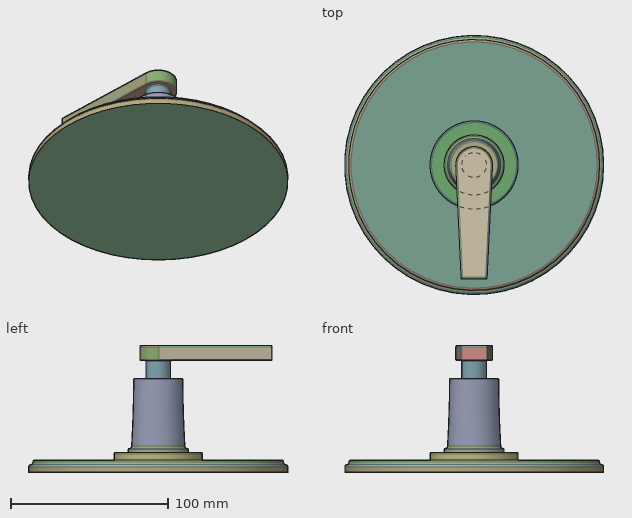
import cadquery as cq
import math

plate_radius = 82.5
plate_height = 8.0
rim_wall_height = 3.5
rim_shoulder_radius = 81.4
rim_shoulder_height = 5.0
rim_cove_radius = 79.9
rim_cove_height = 6.8
plate_face_radius = 78.5

flange_radius = 28.0
flange_top = 12.9
flange_round = 1.0

bead_radius = 19.2
bead_wall_top = 14.5
bead_round = 0.8
cove_start_radius = bead_radius - bead_round
cove_start_height = bead_wall_top + bead_round

hub_bottom_radius = 17.0
hub_bottom = 16.8
hub_top_radius = 15.7
hub_top = 60.0
hub_round = 0.8
hub_waist = 0.28

neck_radius = 8.0
neck_flare = 0.7

lever_bottom = 71.5
lever_top = 80.9
lever_head_radius = 11.7
lever_tip_half_width = 8.3
lever_reach = 72.5
lever_top_round = 1.0
lever_bottom_round = 0.5
lever_tip_round = 0.5

DIAGONAL = math.sqrt(0.5)


def quarter_arc_middle(vertical_end, level_end):
    """Middle of a quarter arc, upright at vertical_end and level at level_end."""
    center_x, center_z = level_end[0], vertical_end[1]
    return (
        center_x + (vertical_end[0] - center_x) * DIAGONAL,
        center_z + (level_end[1] - center_z) * DIAGONAL,
    )


def add_quarter_arc(profile, vertical_end, level_end, rising_to_level=True):
    """Draw the quarter arc between two ends, finishing at the chosen one."""
    end = level_end if rising_to_level else vertical_end
    return profile.threePointArc(quarter_arc_middle(vertical_end, level_end), end)


def revolve_about_z(profile):
    return profile.close().revolve(360, (0, 0, 0), (0, 1, 0))


def make_plate():
    wall_top = (plate_radius, rim_wall_height)
    shoulder = (rim_shoulder_radius, rim_shoulder_height)
    cove_top = (rim_cove_radius, rim_cove_height)
    face_edge = (plate_face_radius, plate_height)
    profile = cq.Workplane("XZ").lineTo(plate_radius, 0).lineTo(*wall_top)
    profile = add_quarter_arc(profile, wall_top, shoulder)
    profile = add_quarter_arc(profile, cove_top, shoulder, rising_to_level=False)
    profile = add_quarter_arc(profile, cove_top, face_edge)
    return revolve_about_z(profile.lineTo(0, plate_height))


def make_flange():
    flange = cq.Workplane("XY").circle(flange_radius).extrude(flange_top)
    return flange.faces(">Z").edges().fillet(flange_round)


def make_hub():
    bead_wall_end = (bead_radius, bead_wall_top)
    cove_start = (cove_start_radius, cove_start_height)
    hub_start = (hub_bottom_radius, hub_bottom)
    hub_wall_top = hub_top - hub_round
    waist = (
        (hub_bottom_radius + hub_top_radius) / 2 - hub_waist,
        (hub_bottom + hub_wall_top) / 2,
    )
    wall_end = (hub_top_radius, hub_wall_top)
    top_edge = (hub_top_radius - hub_round, hub_top)
    profile = cq.Workplane("XZ").lineTo(bead_radius, 0).lineTo(*bead_wall_end)
    profile = add_quarter_arc(profile, bead_wall_end, cove_start)
    profile = add_quarter_arc(profile, hub_start, cove_start, rising_to_level=False)
    profile = profile.threePointArc(waist, wall_end)
    profile = add_quarter_arc(profile, wall_end, top_edge)
    return revolve_about_z(profile.lineTo(0, hub_top))


def make_neck():
    flare_start = (neck_radius, lever_bottom - neck_flare)
    flare_end = (neck_radius + neck_flare, lever_bottom)
    profile = cq.Workplane("XZ").lineTo(neck_radius, 0).lineTo(*flare_start)
    profile = add_quarter_arc(profile, flare_start, flare_end)
    inside_lever = (lever_bottom + lever_top) / 2
    profile = profile.lineTo(flare_end[0], inside_lever).lineTo(0, inside_lever)
    return revolve_about_z(profile)


def make_lever():
    corner_distance = math.hypot(lever_tip_half_width, lever_reach)
    corner_angle = math.atan2(-lever_reach, lever_tip_half_width)
    tangent_angle = corner_angle + math.acos(lever_head_radius / corner_distance)
    tangent_x = lever_head_radius * math.cos(tangent_angle)
    tangent_y = lever_head_radius * math.sin(tangent_angle)
    lever = (
        cq.Workplane("XY", origin=(0, 0, lever_bottom))
        .moveTo(tangent_x, tangent_y)
        .threePointArc((0, lever_head_radius), (-tangent_x, tangent_y))
        .lineTo(-lever_tip_half_width, -lever_reach)
        .lineTo(lever_tip_half_width, -lever_reach)
        .close()
        .extrude(lever_top - lever_bottom)
    )
    lever = lever.faces("<Y").edges("|Z").fillet(lever_tip_round)
    lever = lever.faces(">Z").edges().fillet(lever_top_round)
    return lever.faces("<Z").edges().fillet(lever_bottom_round)


result = make_plate().union(make_flange()).union(make_hub()).union(make_neck()).union(make_lever())